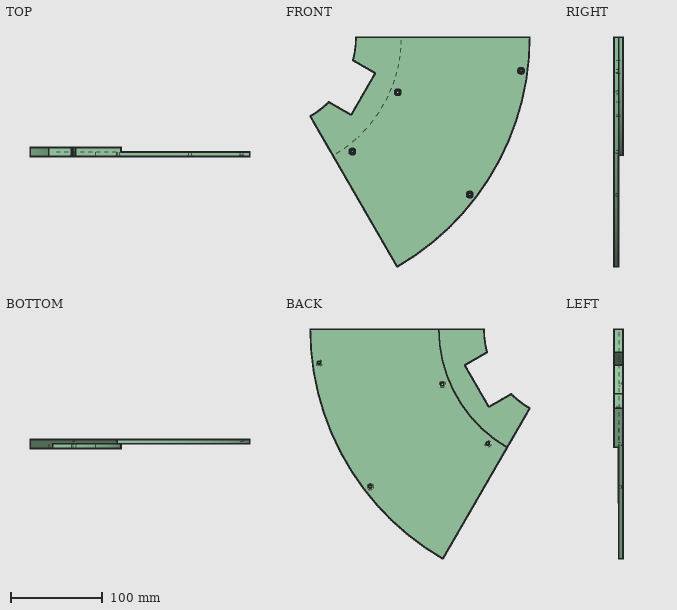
import cadquery as cq
import math

sector_angle = 60
sector_height = 251.2
outer_radius = sector_height / math.sin(math.radians(sector_angle))
inner_radius = 100.0
step_radius = 149.5
plate_thickness = 5.0
hub_thickness = 10.0

notch_floor_radius = 124.5
notch_width = 52.5

hole_diameter = 3.3
head_diameter = 7.0
countersink_angle = 90
inner_hole_radius = 157.7
outer_hole_radius = 282.8
hole_pitch_angle = sector_angle / 2
outer_hole_angle = sector_angle / 8
inner_hole_angle = 3 * sector_angle / 8


def polar(radius, angle):
    """Point at an angle measured downward from +X in the XZ plane."""
    turn = math.radians(angle)
    return radius * math.cos(turn), -radius * math.sin(turn)


def ring_sector(end_radius, thickness):
    """Ring sector with its front face on Y = 0, extending toward +Y."""
    middle = sector_angle / 2
    return (
        cq.Workplane("XZ")
        .moveTo(*polar(inner_radius, 0))
        .lineTo(*polar(end_radius, 0))
        .threePointArc(polar(end_radius, middle), polar(end_radius, sector_angle))
        .lineTo(*polar(inner_radius, sector_angle))
        .threePointArc(polar(inner_radius, middle), polar(inner_radius, 0))
        .close()
        .extrude(-thickness)
    )


plate = ring_sector(outer_radius, plate_thickness)
hub = ring_sector(step_radius, hub_thickness)

notch = (
    cq.Workplane("XZ")
    .center(notch_floor_radius / 2, 0)
    .rect(notch_floor_radius, notch_width)
    .extrude(-hub_thickness)
    .rotate((0, 0, 0), (0, 1, 0), sector_angle / 2)
)

hole_points = []
for radius, first_angle in (
    (inner_hole_radius, inner_hole_angle),
    (outer_hole_radius, outer_hole_angle),
):
    hole_points.append(polar(radius, first_angle))
    hole_points.append(polar(radius, first_angle + hole_pitch_angle))

result = (
    plate.union(hub)
    .cut(notch)
    .copyWorkplane(cq.Workplane("XZ"))
    .pushPoints(hole_points)
    .cskHole(hole_diameter, head_diameter, countersink_angle)
)